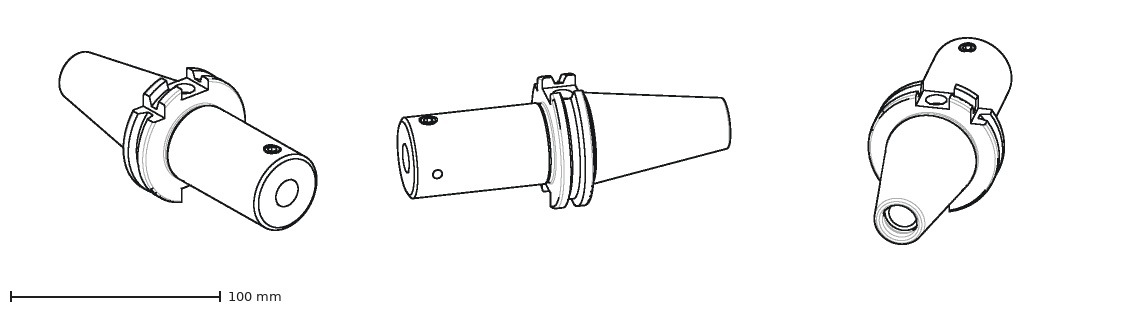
import cadquery as cq

total_length = 156.4
taper_length = 68.3
taper_small_radius = 12.2
gauge_radius = 22.2
taper_end_fillet = 1.3
collar_radius = 21.9
collar_start = 69.0
collar_fillet = 0.5

flange_start = 71.5
flange_end = 87.6
flange_diameter = 63.3
flange_radius = flange_diameter / 2
flange_fillet = 1.1
groove_centre = 79.5
groove_mouth_width = 7.0
groove_floor_width = 3.8
groove_floor_radius = 28.0

slot_width = 16.3
upper_slot_height = 25.0
lower_slot_height = 22.8
notch_offset = 18.6
chip_hole_diameter = 10.0
chip_hole_depth = 4.5

nose_diameter = 39.0
nose_radius = nose_diameter / 2
relief_diameter = 38.0
relief_radius = relief_diameter / 2
relief_fillet = 0.6
relief_slope_start = 89.8
relief_end = 90.7
nose_chamfer_length = 1.3
nose_chamfer_depth = 1.9

through_diameter = 13.8
pilot_diameter = 17.0
pilot_depth = 4.8
undercut_diameter = 17.7
undercut_start = 6.4
undercut_end = 8.6
mouth_fillet = 1.3

screw_x = 145.5
screw_diameter = 6.9
countersink_diameter = 8.0
countersink_height = 19.1
screw_top = 19.2
screw_length = 7.8
socket_corners = 4.5
socket_depth = 3.1
plug_diameter = 4.5
plug_top = 19.2
plug_length = 4.7

tolerance = 0.08
cut_clearance = 1.5


def revolve_about_x(points):
    return cq.Workplane("XY").polyline(points).close().revolve(360, (0, 0, 0), (1, 0, 0))


def fillet_circle(body, x, circle_radius, fillet_radius):
    reach = circle_radius + tolerance
    slab = cq.selectors.BoxSelector(
        (x - tolerance, -reach, -reach), (x + tolerance, reach, reach), boundingbox=True)
    on_circle = body.edges(slab).edges("%CIRCLE").edges(cq.selectors.RadiusNthSelector(-1))
    return on_circle.fillet(fillet_radius)


def turned_body():
    half_mouth = groove_mouth_width / 2
    half_floor = groove_floor_width / 2
    body = revolve_about_x([
        (0, 0),
        (0, taper_small_radius),
        (taper_length, gauge_radius),
        (collar_start, collar_radius),
        (flange_start, collar_radius),
        (flange_start, flange_radius),
        (groove_centre - half_mouth, flange_radius),
        (groove_centre - half_floor, groove_floor_radius),
        (groove_centre + half_floor, groove_floor_radius),
        (groove_centre + half_mouth, flange_radius),
        (flange_end, flange_radius),
        (flange_end, relief_radius),
        (relief_slope_start, relief_radius),
        (relief_end, nose_radius),
        (total_length - nose_chamfer_length, nose_radius),
        (total_length, nose_radius - nose_chamfer_depth),
        (total_length, 0),
    ])
    body = fillet_circle(body, 0, taper_small_radius, taper_end_fillet)
    body = fillet_circle(body, flange_start, collar_radius, collar_fillet)
    body = fillet_circle(body, flange_end, relief_radius, relief_fillet)
    for rim_x in (flange_start, flange_end):
        body = fillet_circle(body, rim_x, flange_radius, flange_fillet)
    return body


def stepped_bore():
    return revolve_about_x([
        (0, 0),
        (0, pilot_diameter / 2),
        (pilot_depth, pilot_diameter / 2),
        (undercut_start, undercut_diameter / 2),
        (undercut_end, undercut_diameter / 2),
        (undercut_end, through_diameter / 2),
        (total_length, through_diameter / 2),
        (total_length, 0),
    ])


def flange_box(y_low, y_high, z_low, z_high):
    width = flange_end - flange_start
    return cq.Workplane("XY").box(width, y_high - y_low, z_high - z_low, centered=False).translate(
        (flange_start, y_low, z_low))


def flange_cuts():
    half = slot_width / 2
    rim = flange_radius
    upper = flange_box(-half, half, upper_slot_height, rim)
    lower = flange_box(-half, half, -rim, -lower_slot_height)
    notch = flange_box(-rim, -notch_offset, notch_offset, rim)
    chip = cq.Workplane("XY", origin=((flange_start + flange_end) / 2, 0, upper_slot_height)).circle(
        chip_hole_diameter / 2).extrude(-chip_hole_depth)
    return [upper, lower, notch, chip]


def screw_pocket():
    screw_radius = screw_diameter / 2
    mouth_height = nose_radius + cut_clearance
    cone_foot = countersink_height - (countersink_diameter - screw_diameter) / 2
    return (
        cq.Workplane("XZ", origin=(screw_x, 0, 0))
        .moveTo(0, screw_top - screw_length)
        .lineTo(screw_radius, screw_top - screw_length)
        .lineTo(screw_radius, cone_foot)
        .lineTo(screw_radius + mouth_height - cone_foot, mouth_height)
        .lineTo(0, mouth_height)
        .close()
        .revolve(360, (0, 0, 0), (0, 1, 0))
    )


def plug_pocket():
    return cq.Workplane("XZ", origin=(screw_x, plug_top - plug_length, 0)).circle(
        plug_diameter / 2).extrude(-nose_radius)


def make_housing():
    housing = turned_body().cut(stepped_bore())
    housing = fillet_circle(housing, 0, pilot_diameter / 2, mouth_fillet)
    for cutter in flange_cuts():
        housing = housing.cut(cutter)
    return housing.cut(screw_pocket()).cut(plug_pocket())


def make_screw():
    top = cq.Workplane("XY", origin=(screw_x, 0, screw_top))
    screw = top.circle(screw_diameter / 2).extrude(-screw_length)
    socket = top.transformed(rotate=(0, 0, 30)).polygon(6, socket_corners).extrude(-socket_depth)
    return screw.cut(socket)


def make_plug():
    return cq.Workplane("XZ", origin=(screw_x, plug_top, 0)).circle(plug_diameter / 2).extrude(plug_length)


housing = make_housing()
clamp_screw = make_screw()
sealing_plug = make_plug()

result = cq.Compound.makeCompound([housing.val(), clamp_screw.val(), sealing_plug.val()])